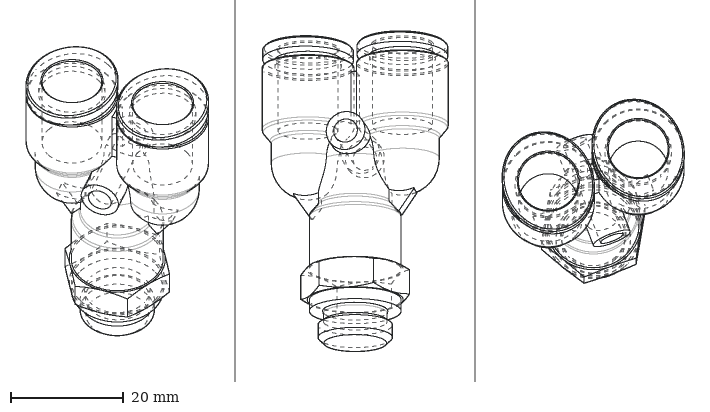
import cadquery as cq
import math

total_height = 54.5
leg_offset = 8.5

socket_radius = 8.15
socket_top = 51.3
socket_edge_chamfer = 0.2
socket_taper_top = 39.45
pipe_radius = 6.55
socket_taper_bottom = 37.45
elbow_centre = 33.55
shoulder_fillet = 0.85

sleeve_neck_radius = 5.9
sleeve_width = 16.0
sleeve_depth = 18.55
sleeve_flange_bottom = 52.5
sleeve_chamfer = 0.3
tube_hole_radius = 5.3
tube_hole_chamfer = 0.2
tube_hole_bottom = socket_taper_top

stem_dome_centre = 33.1
stem_taper_top = 25.4
stem_taper_bottom = 23.55
stem_radius = socket_radius

hex_across_flats = 17.0
hex_top = 13.55
hex_bottom = 7.95
hex_corner_drop = 0.6
collar_radius = stem_radius
collar_bottom = 5.9
thread_radius = 6.6
thread_neck_radius = 5.65
thread_neck_bottom = 4.05
neck_flare_bottom = 5.45
neck_flare = 0.1
thread_top = 3.4
thread_chamfer = 1.05

eye_height = 36.5
eye_length = 18.7
eye_radius = 3.5
eye_hole_radius = 2.1

web_thickness = 3.0
web_top = 49.6
gusset_outer_x = 10.85
gusset_outer_z = 27.45


def revolve_profile(points):
    """Revolve a closed (radius, z) outline about the Z axis."""
    return cq.Workplane("XZ").polyline(points).close().revolve(360, (0, 0, 0), (0, 1, 0))


def round_taper(body, low, high):
    """Fillet the circular edges at the two ends of a taper running from low to high."""
    reach = 2 * socket_radius
    margin = 0.05
    band = cq.selectors.BoxSelector(
        (-reach, -reach, low - margin),
        (reach, reach, high + margin),
    )
    return body.edges("%CIRCLE").edges(band).fillet(shoulder_fillet)


def make_leg():
    """One leg on the Z axis: domed elbow, taper, socket and oval release sleeve."""
    leg = revolve_profile([
        (0, elbow_centre),
        (pipe_radius, elbow_centre),
        (pipe_radius, socket_taper_bottom),
        (socket_radius, socket_taper_top),
        (socket_radius, socket_top),
        (0, socket_top),
    ])
    leg = leg.faces(">Z").chamfer(socket_edge_chamfer)
    leg = round_taper(leg, socket_taper_bottom, socket_taper_top)
    dome = cq.Workplane("XY").sphere(pipe_radius).translate((0, 0, elbow_centre))
    neck = cq.Workplane("XY", origin=(0, 0, socket_top)).circle(sleeve_neck_radius)
    neck = neck.extrude(sleeve_flange_bottom - socket_top)
    flange = cq.Workplane("XY", origin=(0, 0, sleeve_flange_bottom))
    flange = flange.ellipse(sleeve_width / 2, sleeve_depth / 2)
    flange = flange.extrude(total_height - sleeve_flange_bottom)
    flange = flange.faces(">Z").chamfer(sleeve_chamfer)
    return leg.union(dome).union(neck).union(flange)


def make_tube_hole():
    """Blind tube hole on the Z axis, with a chamfered mouth."""
    return revolve_profile([
        (0, tube_hole_bottom),
        (tube_hole_radius, tube_hole_bottom),
        (tube_hole_radius, total_height - tube_hole_chamfer),
        (tube_hole_radius + tube_hole_chamfer, total_height),
        (0, total_height),
    ])


def make_stem():
    """Domed column that tapers out to the stem barrel above the hexagon."""
    stem = revolve_profile([
        (0, hex_top),
        (stem_radius, hex_top),
        (stem_radius, stem_taper_bottom),
        (pipe_radius, stem_taper_top),
        (pipe_radius, stem_dome_centre),
        (0, stem_dome_centre),
    ])
    stem = round_taper(stem, stem_taper_bottom, stem_taper_top)
    dome = cq.Workplane("XY").sphere(pipe_radius).translate((0, 0, stem_dome_centre))
    return stem.union(dome)


def make_hexagon():
    """Wrench hexagon with corners along X, turned down at both ends."""
    flat_radius = hex_across_flats / 2
    corner_radius = flat_radius / math.cos(math.pi / 6)
    hexagon = cq.Workplane("XY", origin=(0, 0, hex_bottom)).polygon(6, 2 * corner_radius)
    hexagon = hexagon.extrude(hex_top - hex_bottom)
    turned = revolve_profile([
        (0, hex_bottom),
        (flat_radius, hex_bottom),
        (corner_radius, hex_bottom + hex_corner_drop),
        (corner_radius, hex_top - hex_corner_drop),
        (flat_radius, hex_top),
        (0, hex_top),
    ])
    return hexagon.intersect(turned)


def make_threaded_end():
    """Collar, relief neck and chamfered thread below the hexagon."""
    return revolve_profile([
        (0, 0),
        (thread_radius - thread_chamfer, 0),
        (thread_radius, thread_chamfer),
        (thread_radius, thread_top),
        (thread_neck_radius, thread_neck_bottom),
        (thread_neck_radius, neck_flare_bottom),
        (thread_neck_radius + neck_flare, collar_bottom),
        (collar_radius, collar_bottom),
        (collar_radius, hex_bottom),
        (0, hex_bottom),
    ])


def make_eye(radius):
    """Cylinder along Y at the mounting eye."""
    eye = cq.Workplane("XZ", origin=(0, eye_length / 2, eye_height))
    return eye.circle(radius).extrude(eye_length)


def make_webs():
    """Web joining the two sockets and the gussets joining the elbows to the stem."""
    outline = [
        (-leg_offset, web_top),
        (leg_offset, web_top),
        (leg_offset, elbow_centre),
        (gusset_outer_x, elbow_centre),
        (gusset_outer_x, gusset_outer_z),
        (stem_radius, stem_taper_bottom),
        (-stem_radius, stem_taper_bottom),
        (-gusset_outer_x, gusset_outer_z),
        (-gusset_outer_x, elbow_centre),
        (-leg_offset, elbow_centre),
    ]
    web = cq.Workplane("XZ", origin=(0, web_thickness / 2, 0))
    return web.polyline(outline).close().extrude(web_thickness)


body = make_stem().union(make_hexagon()).union(make_threaded_end()).union(make_webs())
body = body.union(make_eye(eye_radius))
leg = make_leg()
tube_hole = make_tube_hole()
sides = (-1, 1)
for side in sides:
    body = body.union(leg.translate((side * leg_offset, 0, 0)))
for side in sides:
    body = body.cut(tube_hole.translate((side * leg_offset, 0, 0)))
result = body.cut(make_eye(eye_hole_radius))